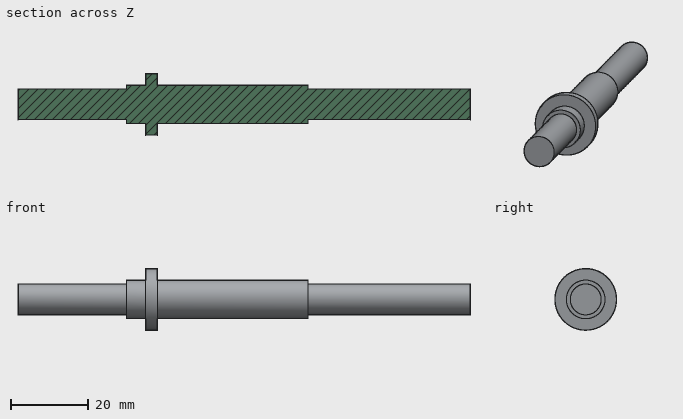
import cadquery as cq

rod_diameter = 8.0
sleeve_diameter = 10.0
flange_diameter = 16.0

left_rod_length = 28.0
left_collar_length = 5.0
flange_thickness = 3.0
sleeve_length = 39.0
right_rod_length = 42.0

sections = [
    (rod_diameter, left_rod_length),
    (sleeve_diameter, left_collar_length),
    (flange_diameter, flange_thickness),
    (sleeve_diameter, sleeve_length),
    (rod_diameter, right_rod_length),
]


def cylinder_along_x(diameter, length, start_x):
    """Solid cylinder on the X axis, running in +X from start_x."""
    return cq.Workplane("YZ", origin=(start_x, 0, 0)).circle(diameter / 2).extrude(length)


def stepped_shaft():
    """Stack the sections end to end into one solid."""
    shaft = cq.Workplane("YZ")
    start_x = 0.0
    for diameter, length in sections:
        shaft = shaft.union(cylinder_along_x(diameter, length, start_x))
        start_x += length
    return shaft


result = stepped_shaft()